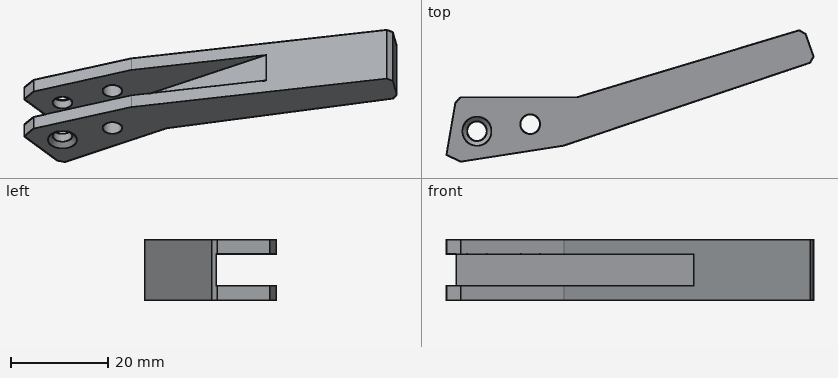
import cadquery as cq

length = 75.75
depth = 27.13
height = 12.5

toe_chamfer_x = 3.0
toe_chamfer_y = 1.4
heel_left_x = 1.85
heel_left_y = 12.16
heel_top_x = 2.95
head_top_y = 13.32
lower_bend = (24.2, 3.3)
upper_bend_x = 26.95
tip_upper_x = 72.75
tip_upper_corner = (74.1, 26.35)
tip_right_y = 21.7
tip_lower_corner = (75.0, 20.4)

prong_thickness = 3.0
slot_height = height - 2 * prong_thickness
slot_floor_y = 12.34

hole_diameter = 4.0
pivot_hole = (6.32, 6.3)
second_hole = (17.3, 7.75)
countersink_diameter = 6.0
countersink_depth = (countersink_diameter - hole_diameter) / 2


def lever_body():
    """Bent lever with a chamfered head on the left and a chamfered tip on the right."""
    outline = [
        (0, toe_chamfer_y),
        (toe_chamfer_x, 0),
        lower_bend,
        tip_lower_corner,
        (length, tip_right_y),
        tip_upper_corner,
        (tip_upper_x, depth),
        (upper_bend_x, head_top_y),
        (heel_top_x, head_top_y),
        (heel_left_x, heel_left_y),
    ]
    return cq.Workplane("XY").polyline(outline).close().extrude(height)


def prong_slot():
    """Straight slot open to the front, running out through the sloping arm."""
    return (
        cq.Workplane("XY")
        .box(length, slot_floor_y, slot_height, centered=False)
        .translate((0, 0, prong_thickness))
    )


def pin_hole(center):
    """Round cutter running through the full height at center."""
    return cq.Workplane("XY").center(*center).circle(hole_diameter / 2).extrude(height)


def pivot_countersink(face_z, inward):
    """45 degree countersink at face_z, narrowing to the hole diameter along inward (+1 up, -1 down)."""
    cone = cq.Solid.makeCone(
        countersink_diameter / 2,
        hole_diameter / 2,
        countersink_depth,
        pnt=cq.Vector(*pivot_hole, face_z),
        dir=cq.Vector(0, 0, inward),
    )
    return cq.Workplane(obj=cone)


result = lever_body().cut(prong_slot())
for hole_center in (pivot_hole, second_hole):
    result = result.cut(pin_hole(hole_center))
for face_z, inward in ((0, 1), (height, -1)):
    result = result.cut(pivot_countersink(face_z, inward))